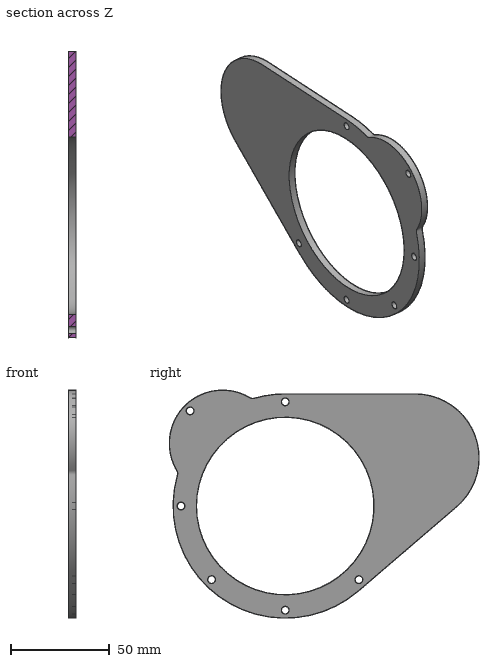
import cadquery as cq
import math

length = 157.2
thickness = 4.0
opening_diameter = 89.9
ring_radius = 56.9
tail_radius = 32.5
lobe_radius = 27.0
corner_fillet = 3.0
screw_diameter = 3.8
screw_circle_radius = 52.8
lobe_screw_distance = 68.2
ring_screw_angles = (-135, -90, -45, 0, 90)
lobe_angle = 45

plate_plane = cq.Plane(origin=(thickness / 2, 0, 0), xDir=(0, -1, 0), normal=(-1, 0, 0))


def polar(radius, angle):
    """Point at a radius and an angle in degrees around the opening centre."""
    return (radius * math.cos(math.radians(angle)), radius * math.sin(math.radians(angle)))


lobe_centre = polar(opening_diameter / 2, lobe_angle)
lobe_end = lobe_centre[0] + lobe_radius

tail_centre = (lobe_end - length + tail_radius, ring_radius - tail_radius)


def disc(centre, radius):
    return cq.Workplane(plate_plane).center(*centre).circle(radius).extrude(thickness)


def tail_web():
    """Four-sided web between the two outer tangents of the ring and tail circles."""
    centre_distance = math.hypot(*tail_centre)
    tail_direction = math.degrees(math.atan2(tail_centre[1], tail_centre[0]))
    tangent_offset = math.degrees(math.acos((ring_radius - tail_radius) / centre_distance))
    corners = []
    for side in (-1, 1):
        angle = tail_direction + side * tangent_offset
        ring_point = polar(ring_radius, angle)
        tail_offset = polar(tail_radius, angle)
        tail_point = (tail_centre[0] + tail_offset[0], tail_centre[1] + tail_offset[1])
        corners += [ring_point, tail_point][::side]
    return cq.Workplane(plate_plane).polyline(corners).close().extrude(thickness)


def lobe_corner_edges(plate):
    """Edges across the thickness where the lobe circle meets the ring circle."""
    centre_distance = opening_diameter / 2
    along = (centre_distance**2 + ring_radius**2 - lobe_radius**2) / (2 * centre_distance)
    half_angle = math.degrees(math.acos(along / ring_radius))
    edges = plate.newObject([])
    for side in (-1, 1):
        u, v = polar(ring_radius, lobe_angle + side * half_angle)
        edges = edges.add(plate.edges("|X").edges(cq.NearestToPointSelector((0, -u, v))))
    return edges


plate = disc((0, 0), ring_radius).union(disc(tail_centre, tail_radius))
plate = plate.union(tail_web()).union(disc(lobe_centre, lobe_radius))
plate = lobe_corner_edges(plate).fillet(corner_fillet)

plate = plate.cut(disc((0, 0), opening_diameter / 2))

screw_points = [polar(screw_circle_radius, angle) for angle in ring_screw_angles]
screw_points.append(polar(lobe_screw_distance, lobe_angle))
for point in screw_points:
    plate = plate.cut(disc(point, screw_diameter / 2))

result = plate